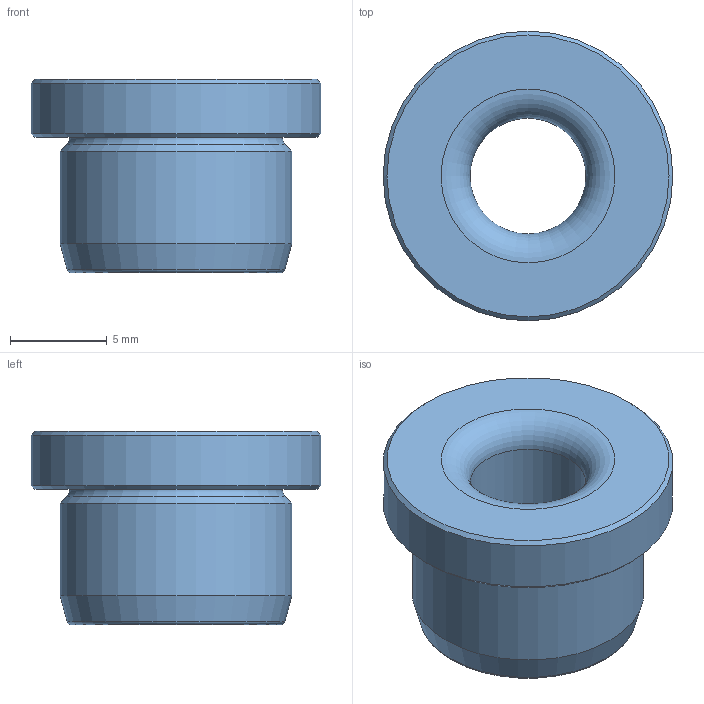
import cadquery as cq
import math

bore_radius = 3.0
body_radius = 6.0
flange_radius = 7.5
total_height = 10.0
flange_thickness = 3.0
flange_chamfer = 0.2
mouth_round = 1.5
lead_in_height = 1.5
lead_in_angle = math.radians(15)
end_round = 0.2
neck_radius = 5.5
undercut_round = 0.5
undercut_angle = math.radians(45)

flange_bottom = total_height - flange_thickness
root_centre_radius = neck_radius + undercut_round
root_start_radius = root_centre_radius - undercut_round * math.cos(undercut_angle)
root_start = flange_bottom - undercut_round * math.sin(undercut_angle)
undercut_start = root_start - (body_radius - root_start_radius) / math.tan(undercut_angle)

round_top = end_round * (1 - math.sin(lead_in_angle))
round_top_radius = body_radius - (lead_in_height - round_top) * math.tan(lead_in_angle)
round_centre_radius = round_top_radius - end_round * math.cos(lead_in_angle)


def arc_point(centre_radius, centre_height, arc_radius, angle):
    """Point of an arc in the (radius, height) half plane."""
    return (
        centre_radius + arc_radius * math.cos(angle),
        centre_height + arc_radius * math.sin(angle),
    )


def make_bushing():
    """Revolve the half section, drawn from the lower bore edge outwards."""
    end_round_middle = arc_point(
        round_centre_radius, end_round, end_round, -(math.pi / 2 + lead_in_angle) / 2
    )
    root_middle = arc_point(
        root_centre_radius, flange_bottom, undercut_round, math.pi + undercut_angle / 2
    )
    mouth_middle = arc_point(
        bore_radius + mouth_round, total_height - mouth_round, mouth_round, 3 * math.pi / 4
    )
    section = (
        cq.Workplane("XZ")
        .moveTo(bore_radius, 0)
        .lineTo(round_centre_radius, 0)
        .threePointArc(end_round_middle, (round_top_radius, round_top))
        .lineTo(body_radius, lead_in_height)
        .lineTo(body_radius, undercut_start)
        .lineTo(root_start_radius, root_start)
        .threePointArc(root_middle, (neck_radius, flange_bottom))
        .lineTo(flange_radius - flange_chamfer, flange_bottom)
        .lineTo(flange_radius, flange_bottom + flange_chamfer)
        .lineTo(flange_radius, total_height - flange_chamfer)
        .lineTo(flange_radius - flange_chamfer, total_height)
        .lineTo(bore_radius + mouth_round, total_height)
        .threePointArc(mouth_middle, (bore_radius, total_height - mouth_round))
        .close()
    )
    return section.revolve(360, (0, 0, 0), (0, 1, 0))


result = make_bushing()